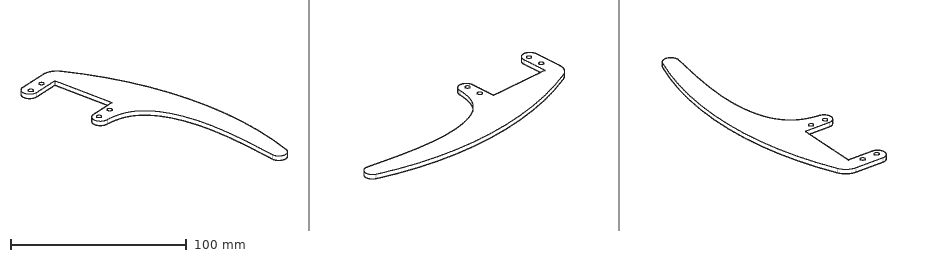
import cadquery as cq
import math

length = 165.5
height = 52.5
thickness = 3.0

tab_radius = 5.0
tab_width = 2 * tab_radius
notch_right = 50.8
notch_top = 22.0
right_tab_center_x = notch_right + tab_radius

hole_diameter = 3.0
hole_columns = (5.8, 54.8)
hole_rows = (tab_radius, 14.9)

back_radius = 201.9
back_center_x = 92.3
back_center_y = height - back_radius
shoulder_radius = 10.0
tip_radius = 5.0

inner_edge_points = [(65.5, 19.9), (73.6, 27.6), (85.5, 32.8), (109.2, 35.7), (137.5, 33.8)]
inner_start_direction = (0.12, 1.0)
tip_slope_angle = 10.0


def blend_center(x, radius):
    """Center at x of a circle that touches the back arc from inside."""
    distance = back_radius - radius
    return x, back_center_y + math.sqrt(distance**2 - (x - back_center_x) ** 2)


def point_on_circle(center, radius, degrees):
    angle = math.radians(degrees)
    return center[0] + radius * math.cos(angle), center[1] + radius * math.sin(angle)


def angle_from_back_center(point):
    return math.degrees(math.atan2(point[1] - back_center_y, point[0] - back_center_x))


def make_plate():
    shoulder_center = blend_center(shoulder_radius, shoulder_radius)
    tip_center = blend_center(length - tip_radius, tip_radius)

    shoulder_angle = angle_from_back_center(shoulder_center)
    tip_angle = angle_from_back_center(tip_center)
    shoulder_end = point_on_circle(shoulder_center, shoulder_radius, shoulder_angle)
    shoulder_middle = point_on_circle(shoulder_center, shoulder_radius, (180 + shoulder_angle) / 2)
    tip_top = point_on_circle(tip_center, tip_radius, tip_angle)
    tip_bottom = point_on_circle(tip_center, tip_radius, -90 - tip_slope_angle)
    slope = math.radians(tip_slope_angle)
    inner_end_direction = (math.cos(slope), -math.sin(slope))

    return (
        cq.Workplane("XY")
        .moveTo(0, tab_radius)
        .lineTo(0, shoulder_center[1])
        .threePointArc(shoulder_middle, shoulder_end)
        .threePointArc((back_center_x, height), tip_top)
        .threePointArc((length, tip_center[1]), tip_bottom)
        .spline(
            inner_edge_points[::-1] + [(notch_right + tab_width, tab_radius)],
            tangents=[
                (-inner_end_direction[0], -inner_end_direction[1]),
                (-inner_start_direction[0], -inner_start_direction[1]),
            ],
            includeCurrent=True,
        )
        .threePointArc((right_tab_center_x, 0), (notch_right, tab_radius))
        .lineTo(notch_right, notch_top)
        .lineTo(tab_width, notch_top)
        .lineTo(tab_width, tab_radius)
        .threePointArc((tab_radius, 0), (0, tab_radius))
        .close()
        .extrude(thickness)
    )


def make_holes():
    centers = [(x, y) for x in hole_columns for y in hole_rows]
    return cq.Workplane("XY").pushPoints(centers).circle(hole_diameter / 2).extrude(thickness)


result = make_plate().cut(make_holes())